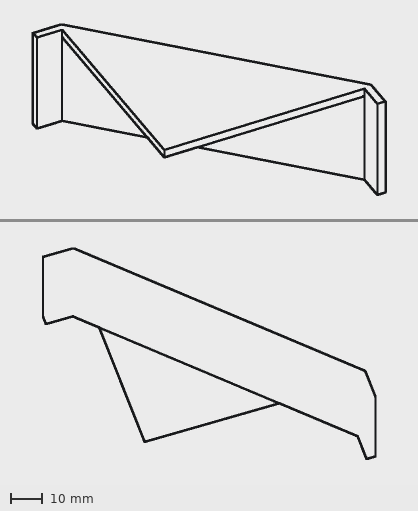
import cadquery as cq
import math

overall_side = 83.0
height = 36.0
thickness = 3.1
plate_thickness = 3.0
flange_length = 9.0
bend_radius = 1.5
rim_radius = 0.6

plate_end = overall_side - flange_length
bend_setback = thickness * math.tan(math.radians(45 / 2))
outer_bend_low = flange_length + bend_setback
outer_bend_high = plate_end - bend_setback


def bent_wall():
    """Diagonal wall with a flange along Y at one end and along X at the other."""
    inner_face = overall_side - thickness
    outline = [
        (0, 0),
        (thickness, 0),
        (thickness, flange_length),
        (plate_end, inner_face),
        (overall_side, inner_face),
        (overall_side, overall_side),
        (outer_bend_high, overall_side),
        (0, outer_bend_low),
    ]
    return cq.Workplane("XY").polyline(outline).close().extrude(height)


def top_plate():
    """Triangular plate filling the corner behind the wall, flush with its top."""
    plate_top_corner = overall_side - thickness
    return (
        cq.Workplane("XY", origin=(0, 0, height - plate_thickness))
        .polyline([(thickness, flange_length), (plate_end, flange_length), (plate_end, plate_top_corner)])
        .close()
        .extrude(plate_thickness)
    )


def round_outer_edges(wall):
    """Round the two outer bends, then the top and bottom rims of the outer faces."""
    middle = height / 2
    for bend in [(0, outer_bend_low, middle), (outer_bend_high, overall_side, middle)]:
        wall = wall.edges(cq.NearestToPointSelector(bend)).fillet(bend_radius)

    flange_middle = outer_bend_low / 2
    for rim_height in (0, height):
        wall = wall.edges(cq.NearestToPointSelector((0, flange_middle, rim_height))).fillet(rim_radius)
    return wall


result = round_outer_edges(bent_wall()).union(top_plate())